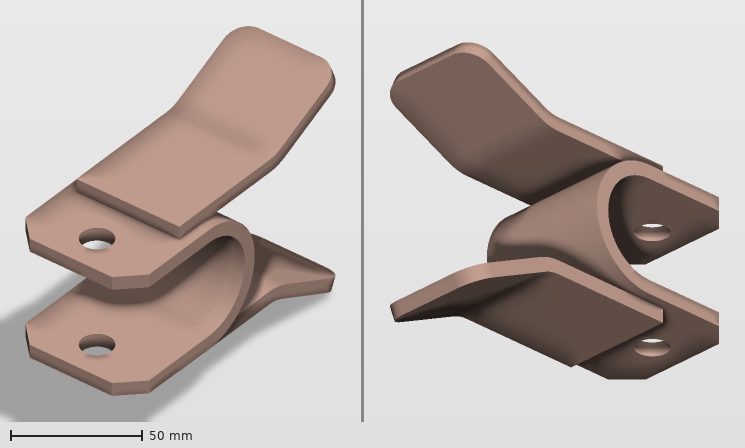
import cadquery as cq
import math

overall_length = 137.0
thickness = 6.0

clamp_width = 60.0
clamp_outer_radius = 28.0
clamp_inner_radius = clamp_outer_radius - thickness
leg_length = 47.0
corner_chamfer = 10.0
hole_diameter = 14.0
hole_end_distance = 16.0

handle_width = 50.0
handle_overlap = 12.0
handle_bend_start = 43.6
bend_angle = math.radians(25)
bend_inner_radius = 16.0
bend_outer_radius = bend_inner_radius + thickness
tip_radius = 10.0


def make_clamp():
    """U-shaped strap with chamfered leg ends and a hole through both legs."""
    clamp = (
        cq.Workplane("YZ")
        .moveTo(-leg_length, clamp_outer_radius)
        .lineTo(0, clamp_outer_radius)
        .threePointArc((clamp_outer_radius, 0), (0, -clamp_outer_radius))
        .lineTo(-leg_length, -clamp_outer_radius)
        .lineTo(-leg_length, -clamp_inner_radius)
        .lineTo(0, -clamp_inner_radius)
        .threePointArc((clamp_inner_radius, 0), (0, clamp_inner_radius))
        .lineTo(-leg_length, clamp_inner_radius)
        .close()
        .extrude(clamp_width / 2, both=True)
    )
    clamp = clamp.faces("<Y").edges("|Z").chamfer(corner_chamfer)
    hole = (
        cq.Workplane("XY")
        .center(0, hole_end_distance - leg_length)
        .circle(hole_diameter / 2)
        .extrude(clamp_outer_radius, both=True)
    )
    return clamp.cut(hole)


def make_upper_handle():
    """Flat strip on top of the clamp, bent upwards to a rounded grip."""
    bend_center_z = clamp_outer_radius + bend_outer_radius

    def bend_point(radius, angle):
        return (
            handle_bend_start + radius * math.sin(angle),
            bend_center_z - radius * math.cos(angle),
        )

    outer_bend_end = bend_point(bend_outer_radius, bend_angle)
    inner_bend_end = bend_point(bend_inner_radius, bend_angle)

    tip_y = overall_length - leg_length
    tip_rise = (tip_y - outer_bend_end[0]) * math.tan(bend_angle)
    lower_tip = (tip_y, outer_bend_end[1] + tip_rise)
    upper_tip = (
        lower_tip[0] - thickness * math.sin(bend_angle),
        lower_tip[1] + thickness * math.cos(bend_angle),
    )

    handle = (
        cq.Workplane("YZ")
        .moveTo(-handle_overlap, clamp_outer_radius)
        .lineTo(handle_bend_start, clamp_outer_radius)
        .threePointArc(bend_point(bend_outer_radius, bend_angle / 2), outer_bend_end)
        .lineTo(*lower_tip)
        .lineTo(*upper_tip)
        .lineTo(*inner_bend_end)
        .threePointArc(
            bend_point(bend_inner_radius, bend_angle / 2),
            (handle_bend_start, clamp_outer_radius + thickness),
        )
        .lineTo(-handle_overlap, clamp_outer_radius + thickness)
        .close()
        .extrude(handle_width / 2, both=True)
    )

    tip_edge_direction = cq.Vector(0, -math.sin(bend_angle), math.cos(bend_angle))
    tip_edges = cq.selectors.ParallelDirSelector(tip_edge_direction)
    return handle.faces(">Y").edges(tip_edges).fillet(tip_radius)


clamp = make_clamp()
upper_handle = make_upper_handle()
handles = [upper_handle, upper_handle.mirror("XY")]

result = cq.Compound.makeCompound([clamp.val(), *[handle.val() for handle in handles]])